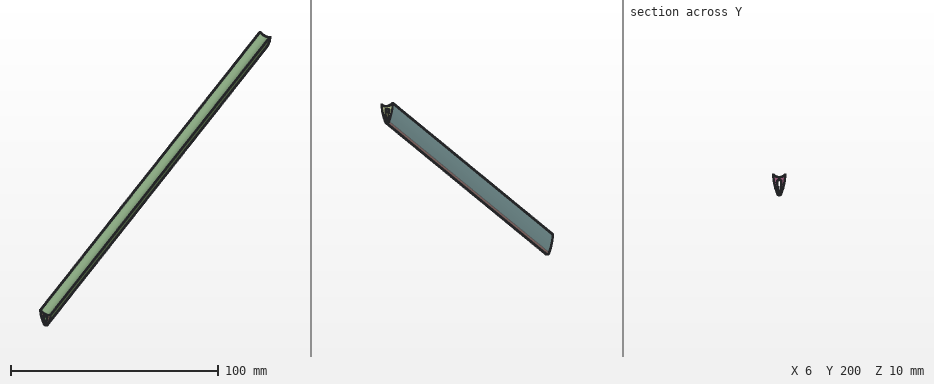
import cadquery as cq
import math

length = 200.0
width = 6.0
height = 10.0

nose_half_width = 1.0
nose_rise = 0.8
side_mid_half_width = 2.5
side_mid_z = 0.5

channel_depth = 1.2

tip_radius = 0.2
tip_height = 0.5

cavity_top_z = 2.5
cavity_shoulder_z = 1.8
cavity_half_width = 1.0
cavity_mid_half_width = 0.7
cavity_mid_z = -1.2
cavity_bottom_half_width = 0.2
cavity_bottom_z = -4.2

half_width = width / 2
top_z = height / 2
bottom_z = -height / 2


def extrude_along_y(section):
    """Extrude an XZ section by the strip length, centred on Y = 0."""
    return section.extrude(length / 2, both=True)


def outer_body():
    nose_z = bottom_z + nose_rise
    tip_x = half_width - tip_radius
    tip_base_z = top_z - tip_radius
    side_top_z = top_z - tip_height
    tip_mid_x = tip_x + tip_radius * math.sin(math.pi / 4)
    tip_mid_z = tip_base_z + tip_radius * math.sin(math.pi / 4)
    section = (
        cq.Workplane("XZ")
        .moveTo(-tip_x, top_z)
        .threePointArc((0, top_z - channel_depth), (tip_x, top_z))
        .threePointArc((tip_mid_x, tip_mid_z), (half_width, tip_base_z))
        .lineTo(half_width, side_top_z)
        .threePointArc((side_mid_half_width, side_mid_z), (nose_half_width, nose_z))
        .threePointArc((0, bottom_z), (-nose_half_width, nose_z))
        .threePointArc((-side_mid_half_width, side_mid_z), (-half_width, side_top_z))
        .lineTo(-half_width, tip_base_z)
        .threePointArc((-tip_mid_x, tip_mid_z), (-tip_x, top_z))
        .close()
    )
    return extrude_along_y(section)


def cavity():
    section = (
        cq.Workplane("XZ")
        .moveTo(-cavity_half_width, cavity_shoulder_z)
        .threePointArc((0, cavity_top_z), (cavity_half_width, cavity_shoulder_z))
        .threePointArc(
            (cavity_mid_half_width, cavity_mid_z),
            (cavity_bottom_half_width, cavity_bottom_z),
        )
        .lineTo(-cavity_bottom_half_width, cavity_bottom_z)
        .threePointArc(
            (-cavity_mid_half_width, cavity_mid_z),
            (-cavity_half_width, cavity_shoulder_z),
        )
        .close()
    )
    return extrude_along_y(section)


result = outer_body().cut(cavity())